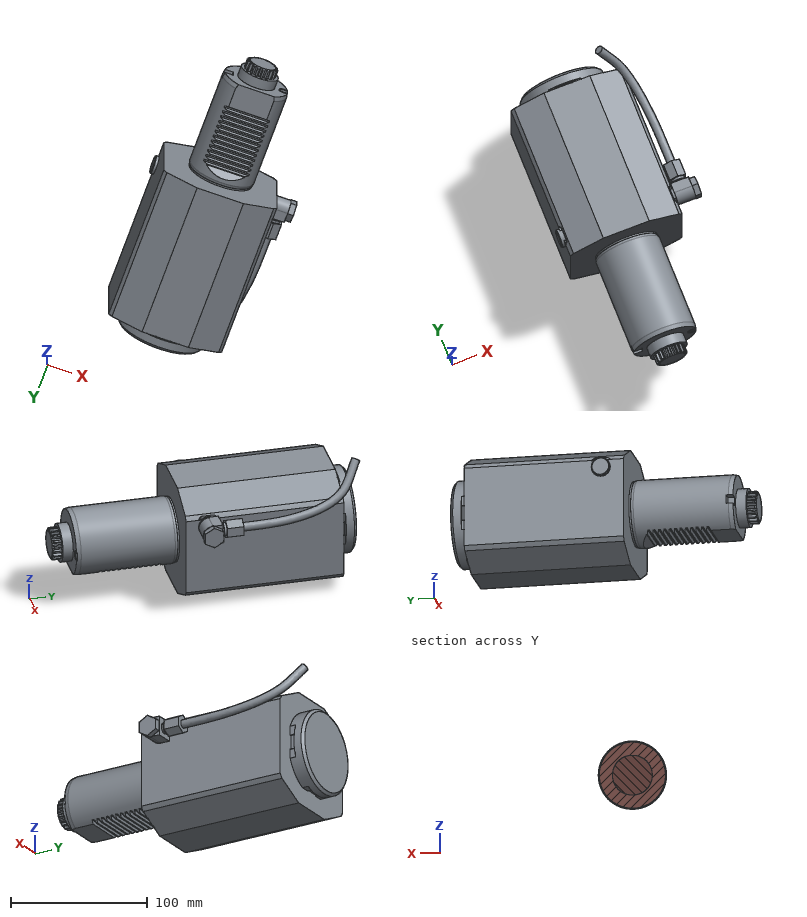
import cadquery as cq
import math


BLOCK_WIDTH = 88.0
BLOCK_LENGTH = 119.0
TOP_FLAT_WIDTH = 36.0
SLOPE_ANGLE = 25
CORNER_DIAMETER = 106.0

SHANK_DIAMETER = 50.0
SHANK_LENGTH = 77.7
RELIEF_DIAMETER = 48.7
RELIEF_LENGTH = 1.4
RELIEF_STEP = 0.2
SHANK_CHAMFER_LENGTH = 2.0
SHANK_LEAD_LENGTH = 3.5

RACK_FLAT_Z = -20.2
RACK_RAMP_Y = -11.3
GROOVE_COUNT = 12
FIRST_GROOVE_Y = -13.4
LAST_GROOVE_Y = -57.5
GROOVE_DEPTH = 2.3
GROOVE_FLOOR_WIDTH = 1.1
GROOVE_MOUTH_WIDTH = 3.0

SLOT_WIDTH = 6.3
SQUARE_SLOT_DEPTH = 5.0
ROUND_SLOT_DEPTH = 0.7
SLOT_INNER_X = 18.0

PORT_Y = 16.8
PORT_Z = 24.0
PORT_DIAMETER = 13.8
PLUG_FACE_X = -46.7
PLUG_CHAMFER = 0.7
SEAT_DIAMETER = 18.1
SEAT_X = 42.5

SPINDLE_DIAMETER = 28.8
SPINDLE_SHOULDER_Y = -85.5
SPLINE_TIP_Y = -92.5
SPLINE_DIAMETER = 24.0
SPLINE_ROOT_DIAMETER = 20.0
SPLINE_CHAMFER_LENGTH = 1.1
TOOTH_COUNT = 18
TOOTH_PHASE = 15
TOOTH_ROOT_WIDTH = 2.3
TOOTH_TIP_WIDTH = 1.4

NUT_DIAMETER = 65.0
NUT_LENGTH = 13.0
NUT_CHAMFER = 2.0
FLAT_COUNT = 4
FLAT_LENGTH = 4.8
FLAT_OFFSET = 30.0
NOTCH_WIDTH = 11.0
NOTCH_DEPTH = 1.0

ELBOW_WIDTH = 15.0
ELBOW_START_X = 44.5
ELBOW_END_X = 58.5
CAP_END_X = 63.0
CAP_ACROSS_FLATS = 14.0
LINE_X = 51.5
NECK_DIAMETER = 8.2
NECK_END_Y = 26.0
COLLAR_DIAMETER = 9.7
HEX_START_Y = 27.9
HEX_END_Y = 40.3
HEX_ACROSS_FLATS = 12.5
HOSE_DIAMETER = 6.3
HOSE_LEAN = 33.2
HOSE_END_ANGLE = 60
HOSE_POINTS = [(HEX_END_Y, 0), (84.8, 2.7), (119.0, 17.7), (131.5, 39.2)]

OVERCUT = 2.3


def y_prism(profile_2d, y_start, y_end):
    """Extrude a function that sketches in (X, Z) from y_start to y_end."""
    plane = cq.Plane(origin=(0, y_start, 0), xDir=(1, 0, 0), normal=(0, -1, 0))
    return profile_2d(cq.Workplane(plane)).extrude(y_start - y_end)


def y_cylinder(diameter, y_start, y_end, x=0, z=0):
    return y_prism(lambda plane: plane.center(x, z).circle(diameter / 2), y_start, y_end)


def y_bar(x_start, x_end, height, y_start, y_end):
    """Rectangular bar centred on Z = 0."""
    middle = (x_start + x_end) / 2
    return y_prism(lambda plane: plane.center(middle, 0).rect(x_end - x_start, height), y_start, y_end)


def x_cylinder(diameter, x_start, x_end):
    """Cylinder along X on the axis of the side ports."""
    return (
        cq.Workplane("YZ", origin=(x_start, PORT_Y, PORT_Z))
        .circle(diameter / 2)
        .extrude(x_end - x_start)
    )


def make_block():
    half = BLOCK_WIDTH / 2
    flat = TOP_FLAT_WIDTH / 2
    shoulder = half - (half - flat) * math.tan(math.radians(SLOPE_ANGLE))
    outline = [
        (flat, half), (half, shoulder), (half, -shoulder), (flat, -half),
        (-flat, -half), (-half, -shoulder), (-half, shoulder), (-flat, half),
    ]
    block = y_prism(lambda plane: plane.polyline(outline).close(), 0, BLOCK_LENGTH)
    return block.intersect(y_cylinder(CORNER_DIAMETER, 0, BLOCK_LENGTH))


def make_shank():
    radius = SHANK_DIAMETER / 2
    relief = RELIEF_DIAMETER / 2
    step = relief + RELIEF_STEP
    full_start = -RELIEF_LENGTH - SHANK_CHAMFER_LENGTH
    profile = [
        (0, 0), (relief, 0), (relief, -RELIEF_LENGTH), (step, -RELIEF_LENGTH), (radius, full_start),
        (radius, SHANK_LEAD_LENGTH - SHANK_LENGTH), (relief, -SHANK_LENGTH), (0, -SHANK_LENGTH),
    ]
    return cq.Workplane("XY").polyline(profile).close().revolve(360, (0, 0), (0, 1))


def make_rack_cutter():
    """Flat with a 45 degree run-out, plus the clamping grooves."""
    radius = SHANK_DIAMETER / 2
    bottom = -radius - OVERCUT
    end = -SHANK_LENGTH - OVERCUT
    flat = [
        (end, RACK_FLAT_Z), (RACK_RAMP_Y, RACK_FLAT_Z),
        (RACK_RAMP_Y + RACK_FLAT_Z - bottom, bottom), (end, bottom),
    ]
    cutter = cq.Workplane("YZ").polyline(flat).close().extrude(radius, both=True)
    pitch = (LAST_GROOVE_Y - FIRST_GROOVE_Y) / (GROOVE_COUNT - 1)
    floor = GROOVE_FLOOR_WIDTH / 2
    mouth = GROOVE_MOUTH_WIDTH / 2
    for index in range(GROOVE_COUNT):
        y = FIRST_GROOVE_Y + index * pitch
        groove = [
            (y - mouth, RACK_FLAT_Z), (y - floor, RACK_FLAT_Z + GROOVE_DEPTH),
            (y + floor, RACK_FLAT_Z + GROOVE_DEPTH), (y + mouth, RACK_FLAT_Z),
        ]
        cutter = cutter.union(cq.Workplane("YZ").polyline(groove).close().extrude(radius, both=True))
    return cutter


def make_end_slots():
    """Deep square-ended slot on -X and shallow round-ended slot on +X."""
    square_floor = SQUARE_SLOT_DEPTH - SHANK_LENGTH
    round_floor = ROUND_SLOT_DEPTH - SHANK_LENGTH
    outer = SHANK_DIAMETER / 2 + OVERCUT
    round_x = SLOT_INNER_X + SLOT_WIDTH / 2
    square = y_bar(-outer, -SLOT_INNER_X, SLOT_WIDTH, -SHANK_LENGTH, square_floor)
    open_part = y_bar(round_x, outer, SLOT_WIDTH, -SHANK_LENGTH, round_floor)
    round_part = y_cylinder(SLOT_WIDTH, -SHANK_LENGTH, round_floor, x=round_x)
    return square.union(open_part).union(round_part)


def make_corner_seat():
    """Round flat milled into the upper +X corner of the block, only above its side face."""
    edge_z = math.sqrt(CORNER_DIAMETER**2 - BLOCK_WIDTH**2) / 2
    above = cq.Workplane("XY").box(BLOCK_WIDTH, BLOCK_LENGTH, BLOCK_WIDTH, centered=False)
    return x_cylinder(SEAT_DIAMETER, SEAT_X, BLOCK_WIDTH / 2).intersect(above.translate((0, 0, edge_z)))


def make_housing():
    corner_seat = make_corner_seat()
    block = make_block().cut(corner_seat).cut(corner_seat.mirror("YZ"))
    plug = x_cylinder(PORT_DIAMETER, PLUG_FACE_X, -SEAT_X).faces("<X").chamfer(PLUG_CHAMFER)
    bore = y_cylinder(SPINDLE_DIAMETER, -SHANK_LENGTH, BLOCK_LENGTH)
    port_seat = x_cylinder(PORT_DIAMETER, SEAT_X, BLOCK_WIDTH / 2)
    shank = make_shank().cut(make_rack_cutter()).cut(make_end_slots())
    return block.union(shank).union(plug).cut(bore).cut(port_seat)


def make_spline():
    root = SPLINE_ROOT_DIAMETER / 2
    tip = SPLINE_DIAMETER / 2
    spline = y_cylinder(SPLINE_ROOT_DIAMETER, SPLINE_TIP_Y, SPINDLE_SHOULDER_Y)
    tooth_outline = [
        (0, -TOOTH_ROOT_WIDTH / 2), (root, -TOOTH_ROOT_WIDTH / 2), (tip, -TOOTH_TIP_WIDTH / 2),
        (tip, TOOTH_TIP_WIDTH / 2), (root, TOOTH_ROOT_WIDTH / 2), (0, TOOTH_ROOT_WIDTH / 2),
    ]
    tooth = y_prism(lambda plane: plane.polyline(tooth_outline).close(), SPLINE_TIP_Y, SPINDLE_SHOULDER_Y)
    for index in range(TOOTH_COUNT):
        angle = TOOTH_PHASE + index * 360 / TOOTH_COUNT
        spline = spline.union(tooth.rotate((0, 0, 0), (0, 1, 0), -angle))
    envelope = y_cylinder(SPLINE_DIAMETER, SPLINE_TIP_Y, SPINDLE_SHOULDER_Y)
    return spline.intersect(envelope.faces("<Y").chamfer(SPLINE_CHAMFER_LENGTH, tip - root))


def make_nut():
    nut_end = BLOCK_LENGTH + NUT_LENGTH
    nut = y_cylinder(NUT_DIAMETER, BLOCK_LENGTH, nut_end).faces(">Y").chamfer(NUT_CHAMFER)
    flat_cut = cq.Workplane("XY").box(NUT_DIAMETER, FLAT_LENGTH, NUT_DIAMETER, centered=(True, False, False))
    flat_cut = flat_cut.translate((0, BLOCK_LENGTH, FLAT_OFFSET))
    notch = cq.Workplane("XY").box(NOTCH_WIDTH, FLAT_LENGTH, NUT_DIAMETER, centered=(True, False, False))
    cutter = flat_cut.union(notch.translate((0, BLOCK_LENGTH, FLAT_OFFSET - NOTCH_DEPTH)))
    for index in range(FLAT_COUNT):
        nut = nut.cut(cutter.rotate((0, 0, 0), (0, 1, 0), index * 360 / FLAT_COUNT))
    return nut


def make_spindle():
    shaft = y_cylinder(SPINDLE_DIAMETER, SPINDLE_SHOULDER_Y, BLOCK_LENGTH)
    return shaft.union(make_spline()).union(make_nut())


def make_elbow():
    """Port stub, D-shaped body and hexagonal end cap."""
    length = ELBOW_END_X - ELBOW_START_X
    stub = x_cylinder(PORT_DIAMETER, SEAT_X, ELBOW_START_X)
    barrel = x_cylinder(ELBOW_WIDTH, ELBOW_START_X, ELBOW_END_X)
    square_side = cq.Workplane("XY").box(length, ELBOW_WIDTH / 2, ELBOW_WIDTH, centered=(False, False, True))
    square_side = square_side.translate((ELBOW_START_X, PORT_Y, PORT_Z))
    cap = (
        cq.Workplane("YZ", origin=(ELBOW_END_X, PORT_Y, PORT_Z))
        .polygon(6, CAP_ACROSS_FLATS, circumscribed=True)
        .extrude(CAP_END_X - ELBOW_END_X)
    )
    return stub.union(barrel).union(square_side).union(cap)


def make_hose():
    lean = math.radians(HOSE_LEAN)
    end = math.radians(HOSE_END_ANGLE)
    bend_plane = cq.Plane(
        origin=(LINE_X, 0, PORT_Z),
        xDir=(0, 1, 0),
        normal=(math.cos(lean), 0, math.sin(lean)),
    )
    path = cq.Workplane(bend_plane).spline(
        HOSE_POINTS, tangents=[(1, 0), (math.cos(end), math.sin(end))]
    )
    section = cq.Workplane("XZ", origin=(LINE_X, HEX_END_Y, PORT_Z)).circle(HOSE_DIAMETER / 2)
    return section.sweep(path)


def make_coolant_line():
    elbow_side = PORT_Y + ELBOW_WIDTH / 2
    neck = y_cylinder(NECK_DIAMETER, elbow_side, NECK_END_Y, LINE_X, PORT_Z)
    collar = y_cylinder(COLLAR_DIAMETER, NECK_END_Y, HEX_START_Y, LINE_X, PORT_Z)
    hexagon = y_prism(
        lambda plane: plane.center(LINE_X, PORT_Z)
        .polygon(6, HEX_ACROSS_FLATS, circumscribed=True),
        HEX_START_Y,
        HEX_END_Y,
    )
    return make_elbow().union(neck).union(collar).union(hexagon).union(make_hose())


housing = make_housing()
spindle = make_spindle()
coolant_line = make_coolant_line()

result = cq.Compound.makeCompound([housing.val(), spindle.val(), coolant_line.val()])